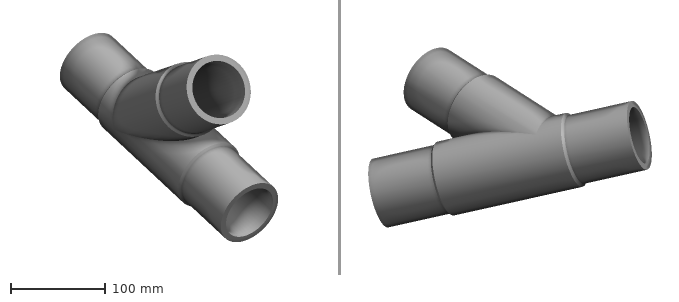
import cadquery as cq

run_length = 294.0
pipe_diameter = 75.0
body_diameter = 80.5
bore_diameter = 61.5
body_start = 71.1
body_end = 222.9
branch_origin = 103.0
branch_angle = 45.0
branch_length = 190.8
branch_body_length = 119.7

body_chamfer = (body_diameter - pipe_diameter) / 2


def along_axis(start_x, length, diameter):
    """Cylinder on the X axis."""
    return cq.Workplane("YZ", origin=(start_x, 0, 0)).circle(diameter / 2).extrude(length)


def tilt_to_branch(solid):
    """Turn a solid from the run axis onto the branch axis, then move it to the junction."""
    return solid.rotate((0, 0, 0), (0, 1, 0), -branch_angle).translate((branch_origin, 0, 0))


run_body = along_axis(body_start, body_end - body_start, body_diameter).edges().chamfer(body_chamfer)
run = along_axis(0, run_length, pipe_diameter).union(run_body)

branch_body = along_axis(0, branch_body_length, body_diameter).faces(">X").edges().chamfer(body_chamfer)
branch = along_axis(0, branch_length, pipe_diameter).union(branch_body)

root_trim = cq.Workplane("XY").box(
    2 * run_length, 2 * body_diameter, body_diameter, centered=(True, True, False)
).translate((0, 0, -body_diameter))
branch = tilt_to_branch(branch).cut(root_trim)

run_bore = along_axis(0, run_length, bore_diameter)
branch_bore = tilt_to_branch(along_axis(0, branch_length, bore_diameter)).cut(root_trim)

result = run.union(branch).cut(run_bore).cut(branch_bore)